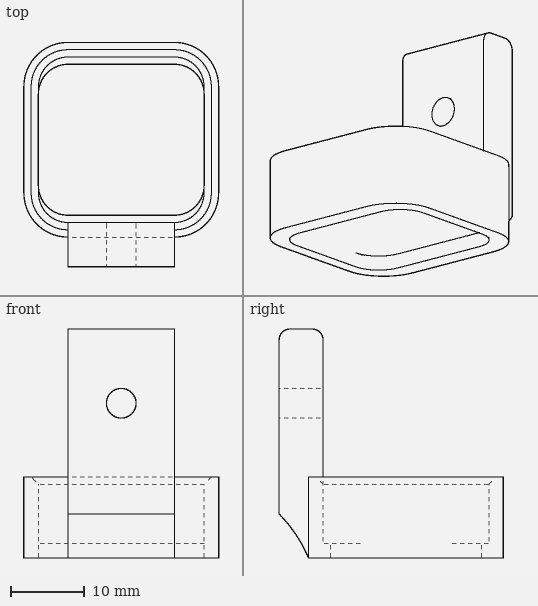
import cadquery as cq

ring_size = 26.45
ring_height = 11.0
wall = 2.0
corner_radius = 6.0
bore_size = ring_size - 2 * wall
bore_radius = corner_radius - wall
rim_chamfer = 1.0

ledge_width = 1.0
ledge_height = 2.0

tab_top = 31.08
tab_width = ring_size - 2 * corner_radius
tab_thickness = 6.0
tab_edge_radius = 1.5
tab_back_y = -bore_size / 2
tab_front_y = tab_back_y - tab_thickness
ring_front_y = -ring_size / 2

underside_height = 6.0
underside_radius = 19.0

hole_diameter = 4.0
hole_height = 21.0


def rounded_block(size_x, size_y, radius, bottom, top):
    """Upright block with rounded vertical edges, centred on the Z axis."""
    block = cq.Workplane("XY").workplane(offset=bottom).rect(size_x, size_y).extrude(top - bottom)
    return block.edges("|Z").fillet(radius)


def make_ring():
    body = rounded_block(ring_size, ring_size, corner_radius, 0, ring_height)
    bore = rounded_block(bore_size, bore_size, bore_radius, ledge_height, ring_height)
    opening = rounded_block(bore_size, bore_size - 2 * ledge_width, bore_radius, 0, ledge_height)
    flare_size = bore_size + 2 * rim_chamfer
    flare_bottom = ring_height - rim_chamfer
    flare_top = ring_height + rim_chamfer
    flare = rounded_block(flare_size, flare_size, bore_radius + rim_chamfer, flare_bottom, flare_top)
    flare = flare.faces("<Z").chamfer(rim_chamfer)
    return body.cut(bore).cut(opening).cut(flare)


def make_tab():
    """Side profile in the YZ plane, extruded symmetrically along X."""
    tab = (
        cq.Workplane("YZ")
        .moveTo(tab_back_y, 0)
        .lineTo(ring_front_y, 0)
        .radiusArc((tab_front_y, underside_height), -underside_radius)
        .lineTo(tab_front_y, tab_top)
        .lineTo(tab_back_y, tab_top)
        .close()
        .extrude(tab_width / 2, both=True)
    )
    return tab.faces(">Z").edges("|X").fillet(tab_edge_radius)


def make_hole():
    return (
        cq.Workplane("XZ", origin=(0, tab_back_y, 0))
        .center(0, hole_height)
        .circle(hole_diameter / 2)
        .extrude(tab_thickness)
    )


result = make_ring().union(make_tab()).cut(make_hole())